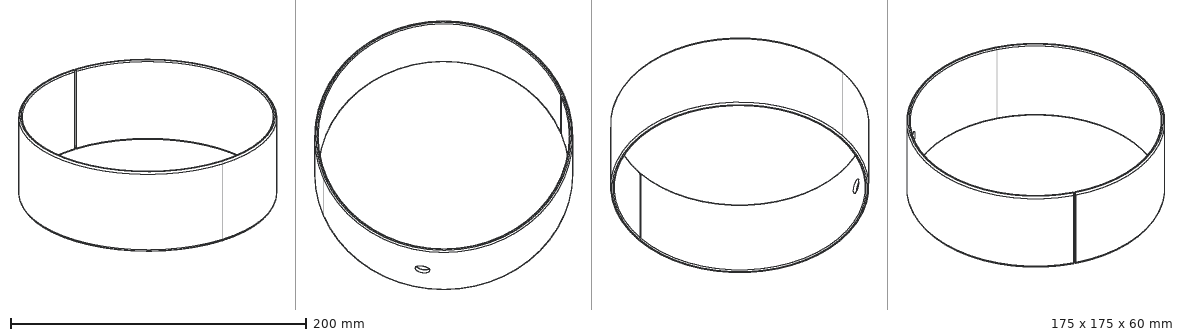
import cadquery as cq

outer_diameter = 175.0
wall = 2.5
height = 60.0
outer_bevel_height = 1.5
outer_bevel_width = 0.9
inner_bevel_height = 1.0
inner_bevel_width = 0.7
slit_width = 1.4

hole_diameter = 10.0
hole_angle = 59.2
hole_height = height / 2

outer_radius = outer_diameter / 2


def ring():
    """Thin band standing on Z = 0, with both rims bevelled inside and out."""
    inner_radius = outer_radius - wall
    rim_outer_radius = outer_radius - outer_bevel_width
    rim_inner_radius = inner_radius + inner_bevel_width
    section = [
        (rim_inner_radius, 0),
        (rim_outer_radius, 0),
        (outer_radius, outer_bevel_height),
        (outer_radius, height - outer_bevel_height),
        (rim_outer_radius, height),
        (rim_inner_radius, height),
        (inner_radius, height - inner_bevel_height),
        (inner_radius, inner_bevel_height),
    ]
    return (
        cq.Workplane("XZ")
        .polyline(section)
        .close()
        .revolve(360, (0, 0), (0, 1))
    )


def slit():
    """Full-height cut through the wall on the -X side, with one face on the XZ plane."""
    depth = 2 * wall
    return (
        cq.Workplane("XY")
        .center(-outer_radius, slit_width / 2)
        .rect(2 * depth, slit_width)
        .extrude(height)
    )


def radial_hole():
    """Cylinder running outward from the ring axis through one wall."""
    return (
        cq.Workplane("YZ")
        .center(0, hole_height)
        .circle(hole_diameter / 2)
        .extrude(outer_diameter)
        .rotate((0, 0, 0), (0, 0, 1), hole_angle)
    )


result = ring().cut(slit()).cut(radial_hole())